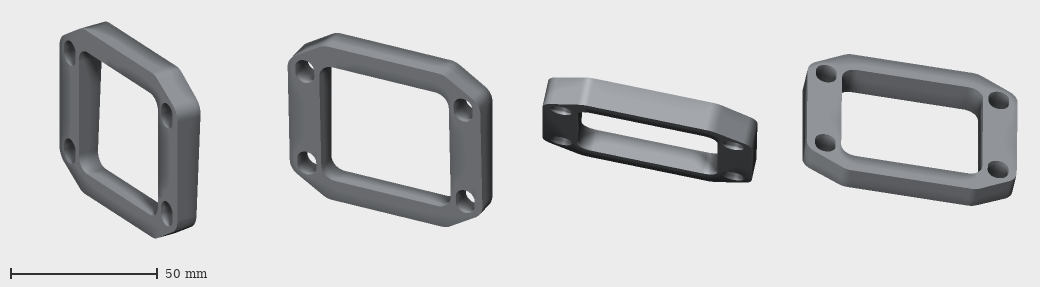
import cadquery as cq

width = 73.0
height = 62.0
top_thickness = 10.0
bottom_thickness = 7.3

corner_cut_x = 13.95
corner_cut_z = 8.8
outer_radius = 6.0

window_width = 49.05
window_height = 46.0
window_radius = 5.1

slot_spacing_x = 60.0
slot_spacing_z = 37.0
slot_width = 7.15
slot_length = 9.1

half_width = width / 2
half_height = height / 2


def wedge_blank():
    """Block whose back face slopes from the thick top to the thin bottom."""
    side_profile = [
        (0, -half_height),
        (bottom_thickness, -half_height),
        (top_thickness, half_height),
        (0, half_height),
    ]
    return cq.Workplane("YZ").polyline(side_profile).close().extrude(half_width, both=True)


def through_plane():
    """Sketch plane on the flat face; its normal points out along -Y."""
    return cq.Workplane("XZ")


def outer_prism():
    """Octagonal outline with all eight corners rounded."""
    flat_x = half_width - corner_cut_x
    flat_z = half_height - corner_cut_z
    outline = [
        (flat_x, half_height),
        (half_width, flat_z),
        (half_width, -flat_z),
        (flat_x, -half_height),
        (-flat_x, -half_height),
        (-half_width, -flat_z),
        (-half_width, flat_z),
        (-flat_x, half_height),
    ]
    prism = through_plane().polyline(outline).close().extrude(-top_thickness)
    return prism.edges("|Y").fillet(outer_radius)


def window():
    opening = through_plane().rect(window_width, window_height).extrude(-top_thickness)
    return opening.edges("|Y").fillet(window_radius)


def mounting_slots():
    return (
        through_plane()
        .rect(slot_spacing_x, slot_spacing_z, forConstruction=True)
        .vertices()
        .slot2D(slot_length, slot_width, angle=90)
        .extrude(-top_thickness)
    )


result = wedge_blank().intersect(outer_prism()).cut(window()).cut(mounting_slots())